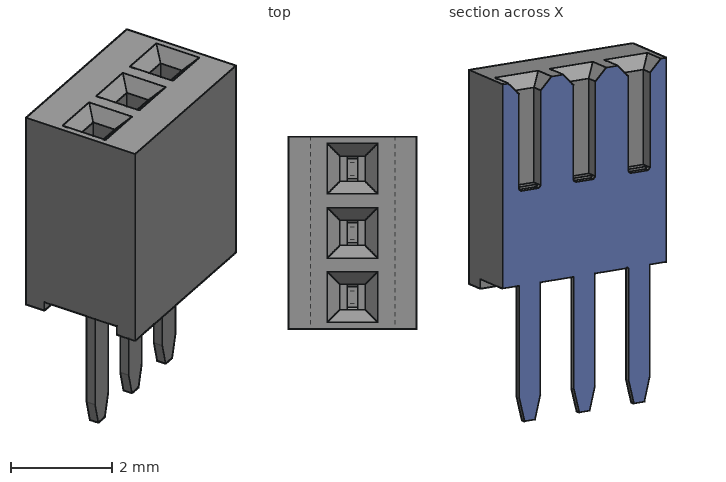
import cadquery as cq

contact_count = 3
pitch = 1.27
body_width = 2.54
body_length = contact_count * pitch
body_height = 4.4

channel_width = 1.68
channel_height = 0.2

mouth_size = 1.0
cavity_size = 0.5
mouth_depth = (mouth_size - cavity_size) / 2
cavity_floor_z = body_height / 2

pin_thickness = 0.2
pin_width = 0.5
pin_tip_width = 0.25
pin_tip_height = 0.5
pin_length = 2.6

groove_floor_length = 0.4
groove_depth = (cavity_size - groove_floor_length) / 2

contact_positions = [
    (index - (contact_count - 1) / 2) * pitch for index in range(contact_count)
]


def make_housing():
    block = cq.Workplane("XY").box(
        body_width, body_length, body_height, centered=(True, True, False)
    )
    channel = cq.Workplane("XY").box(
        channel_width, body_length, channel_height, centered=(True, True, False)
    )
    return block.cut(channel)


def make_socket(y):
    """Space to remove for one socket: funnel mouth, cavity and floor groove."""
    cavity_top_z = body_height - mouth_depth
    mouth = (
        cq.Workplane("XY", origin=(0, y, cavity_top_z))
        .rect(cavity_size, cavity_size)
        .workplane(offset=mouth_depth)
        .rect(mouth_size, mouth_size)
        .loft(ruled=True)
    )
    cavity = (
        cq.Workplane("XY", origin=(0, y, cavity_floor_z))
        .rect(cavity_size, cavity_size)
        .extrude(cavity_top_z - cavity_floor_z)
    )
    groove_bottom_z = cavity_floor_z - groove_depth
    groove = (
        cq.Workplane("YZ", origin=(0, y, 0))
        .moveTo(-cavity_size / 2, cavity_floor_z)
        .lineTo(-groove_floor_length / 2, groove_bottom_z)
        .lineTo(groove_floor_length / 2, groove_bottom_z)
        .lineTo(cavity_size / 2, cavity_floor_z)
        .close()
        .extrude(pin_thickness / 2, both=True)
    )
    return mouth.union(cavity).union(groove)


def make_pin(y):
    """One pin, from the channel ceiling down to its tapered tip."""
    tip_z = -pin_length
    shoulder_z = tip_z + pin_tip_height
    return (
        cq.Workplane("YZ", origin=(0, y, 0))
        .moveTo(-pin_width / 2, channel_height)
        .lineTo(-pin_width / 2, shoulder_z)
        .lineTo(-pin_tip_width / 2, tip_z)
        .lineTo(pin_tip_width / 2, tip_z)
        .lineTo(pin_width / 2, shoulder_z)
        .lineTo(pin_width / 2, channel_height)
        .close()
        .extrude(pin_thickness / 2, both=True)
    )


result = make_housing()
for contact_y in contact_positions:
    result = result.cut(make_socket(contact_y))
    result = result.union(make_pin(contact_y))